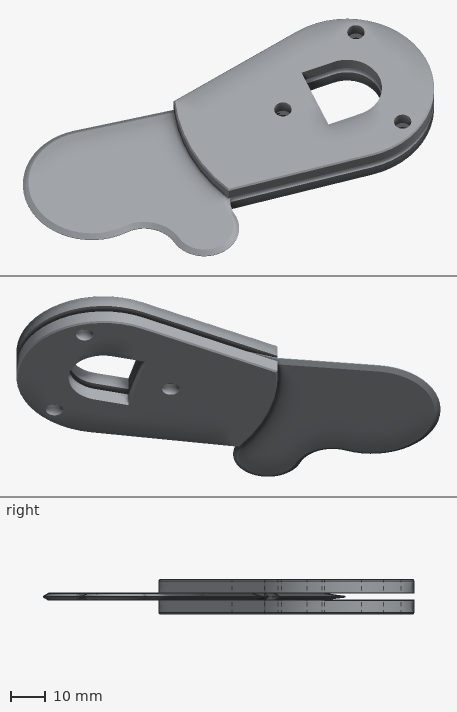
import cadquery as cq
import math

TOTAL_THICKNESS = 10.0
BLADE_THICKNESS = 2.0
PLATE_THICKNESS = (TOTAL_THICKNESS - BLADE_THICKNESS) / 2
AXIS_ANGLE = 230.7

HEAD_RADIUS = 25.0
FOOT_RADIUS = 2 * HEAD_RADIUS
FOOT_LEFT_ANGLE = 213.1
FOOT_RIGHT_ANGLE = 254.9
PLATE_CHAMFER = 0.4

WINDOW_RADIUS = 10.0
WINDOW_DEPTH = 10.0
HOLE_DIAMETER = 5.0
HOLE_CIRCLE_RADIUS = 20.0
HOLE_COUNT = 3

BLADE_END_RADIUS = 19.8
BLADE_END_CENTRE = (-50.4, -61.7)
LOBE_RADIUS = 10.0
LOBE_CENTRE = (-14.5, -60.3)
HOLLOW_RADIUS = 10.0
UPPER_HOLLOW_ANGLE = 57.4
BLADE_SHOULDER = (-41.9, -27.0)
BLADE_BEVEL_WIDTH = 1.6
RIM_THICKNESS = 0.2
RELIEF_RADIUS = 19.9
RELIEF_LEFT_ANGLE = 165
RELIEF_RIGHT_ANGLE = 289


def polar(radius, angle, centre=(0, 0)):
    """Point at a radius and an angle in degrees around a centre."""
    turn = math.radians(angle)
    return (centre[0] + radius * math.cos(turn), centre[1] + radius * math.sin(turn))


def direction(start, end):
    """Angle in degrees of the line from start to end."""
    return math.degrees(math.atan2(end[1] - start[1], end[0] - start[0]))


def tangent_angle(centre, radius, point, side):
    """Angle around a circle where the line from an outside point touches it; side is +1 or -1."""
    swing = math.degrees(math.acos(radius / math.dist(centre, point)))
    return direction(centre, point) + side * swing


def hollow_centre(first, first_radius, second, second_radius):
    """Centre of the hollow touching two circles, to the right of the line from first to second."""
    first_reach = first_radius + HOLLOW_RADIUS
    second_reach = second_radius + HOLLOW_RADIUS
    gap = math.dist(first, second)
    cosine = (first_reach**2 + gap**2 - second_reach**2) / (2 * first_reach * gap)
    return polar(first_reach, direction(first, second) - math.degrees(math.acos(cosine)), first)


def arc_to(outline, centre, radius, start_angle, end_angle):
    """Continue an outline along an arc that runs directly from one angle to the other."""
    middle = polar(radius, (start_angle + end_angle) / 2, centre)
    return outline.threePointArc(middle, polar(radius, end_angle, centre))


def make_plate():
    """Handle plate with its outer edge chamfered on the upper face, standing on Z = 0."""
    head = (0, 0)
    foot_left = polar(FOOT_RADIUS, FOOT_LEFT_ANGLE)
    foot_right = polar(FOOT_RADIUS, FOOT_RIGHT_ANGLE)
    left_touch = tangent_angle(head, HEAD_RADIUS, foot_left, -1) % 360
    right_touch = tangent_angle(head, HEAD_RADIUS, foot_right, 1) % 360 - 360
    outline = cq.Workplane("XY").moveTo(*foot_right).lineTo(*polar(HEAD_RADIUS, right_touch))
    outline = arc_to(outline, head, HEAD_RADIUS, right_touch, left_touch)
    outline = outline.lineTo(*foot_left)
    outline = arc_to(outline, head, FOOT_RADIUS, FOOT_LEFT_ANGLE, FOOT_RIGHT_ANGLE)
    return outline.close().extrude(PLATE_THICKNESS).faces(">Z").edges().chamfer(PLATE_CHAMFER)


def make_blade():
    """Flat blade, centred on Z = 0, beveled from both faces around its whole outline."""
    relief_left = polar(RELIEF_RADIUS, RELIEF_LEFT_ANGLE)
    relief_right = polar(RELIEF_RADIUS, RELIEF_RIGHT_ANGLE)
    lower_hollow = hollow_centre(BLADE_END_CENTRE, BLADE_END_RADIUS, LOBE_CENTRE, LOBE_RADIUS)
    upper_hollow = polar(LOBE_RADIUS + HOLLOW_RADIUS, UPPER_HOLLOW_ANGLE, LOBE_CENTRE)

    end_start = tangent_angle(BLADE_END_CENTRE, BLADE_END_RADIUS, BLADE_SHOULDER, 1)
    end_finish = direction(BLADE_END_CENTRE, lower_hollow) + 360
    lower_finish = direction(lower_hollow, LOBE_CENTRE)
    lobe_start = lower_finish - 180
    upper_start = UPPER_HOLLOW_ANGLE + 180
    upper_finish = tangent_angle(upper_hollow, HOLLOW_RADIUS, relief_right, 1)

    outline = cq.Workplane("XY").moveTo(*relief_left).lineTo(*BLADE_SHOULDER)
    outline = outline.lineTo(*polar(BLADE_END_RADIUS, end_start, BLADE_END_CENTRE))
    outline = arc_to(outline, BLADE_END_CENTRE, BLADE_END_RADIUS, end_start, end_finish)
    outline = arc_to(outline, lower_hollow, HOLLOW_RADIUS, end_finish - 180, lower_finish)
    outline = arc_to(outline, LOBE_CENTRE, LOBE_RADIUS, lobe_start, UPPER_HOLLOW_ANGLE)
    outline = arc_to(outline, upper_hollow, HOLLOW_RADIUS, upper_start, upper_finish)
    outline = outline.lineTo(*relief_right)
    outline = arc_to(outline, (0, 0), RELIEF_RADIUS, RELIEF_RIGHT_ANGLE, RELIEF_LEFT_ANGLE)
    outline = outline.close()
    rim = outline.extrude(RIM_THICKNESS / 2)
    bevel_height = (BLADE_THICKNESS - RIM_THICKNESS) / 2
    bevel_angle = math.degrees(math.atan(BLADE_BEVEL_WIDTH / bevel_height))
    wire = outline.val().translate(cq.Vector(0, 0, RIM_THICKNESS / 2))
    bevel = cq.Workplane("XY").add(wire).toPending().extrude(bevel_height, taper=bevel_angle)
    upper_half = rim.union(bevel)
    return upper_half.union(upper_half.mirror("XY"))


def make_openings():
    """Cutters for the window and the ring of holes, through the whole thickness."""
    window = (
        cq.Workplane("XY")
        .moveTo(0, WINDOW_RADIUS)
        .lineTo(WINDOW_DEPTH, WINDOW_RADIUS)
        .lineTo(WINDOW_DEPTH, -WINDOW_RADIUS)
        .lineTo(0, -WINDOW_RADIUS)
        .threePointArc((-WINDOW_RADIUS, 0), (0, WINDOW_RADIUS))
        .close()
        .extrude(TOTAL_THICKNESS, both=True)
    )
    holes = (
        cq.Workplane("XY")
        .polarArray(HOLE_CIRCLE_RADIUS, 0, 360, HOLE_COUNT)
        .circle(HOLE_DIAMETER / 2)
        .extrude(TOTAL_THICKNESS, both=True)
    )
    return window.union(holes).rotate((0, 0, 0), (0, 0, 1), AXIS_ANGLE)


upper_plate = make_plate().translate((0, 0, BLADE_THICKNESS / 2))
lower_plate = upper_plate.mirror("XY")
result = make_blade().union(upper_plate).union(lower_plate).cut(make_openings())